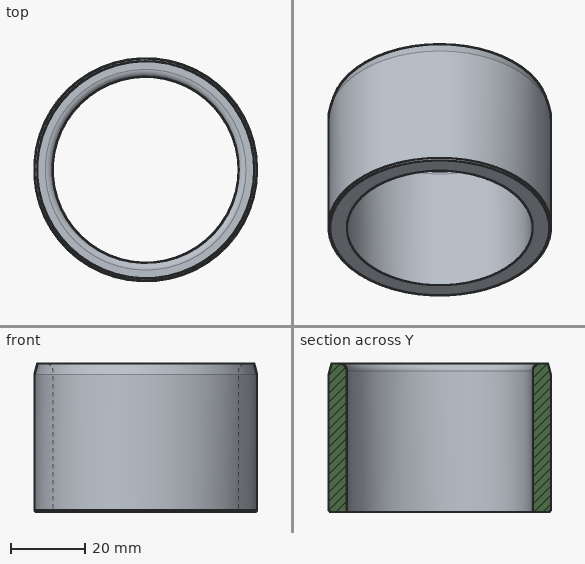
import cadquery as cq
import math

outer_diameter = 60.0
bore_diameter = 50.0
height = 40.0

lead_in_height = 3.0
lead_in_angle = 15.0
bottom_chamfer = 0.5
bore_mouth_radius = 2.0

outer_radius = outer_diameter / 2
lead_in_depth = lead_in_height * math.tan(math.radians(lead_in_angle))


def make_sleeve():
    """Plain tube standing on the XY plane."""
    return (
        cq.Workplane("XY")
        .circle(outer_radius)
        .circle(bore_diameter / 2)
        .extrude(height)
    )


def round_bore_mouth(body):
    """Round the top edge of the bore."""
    return body.faces(">Z").edges(cq.selectors.RadiusNthSelector(0)).fillet(bore_mouth_radius)


def make_outer_envelope():
    """Solid bounding the outside: bottom chamfer, straight wall and tapered lead-in at the top."""
    return (
        cq.Workplane("XZ")
        .moveTo(0, 0)
        .lineTo(outer_radius - bottom_chamfer, 0)
        .lineTo(outer_radius, bottom_chamfer)
        .lineTo(outer_radius, height - lead_in_height)
        .lineTo(outer_radius - lead_in_depth, height)
        .lineTo(0, height)
        .close()
        .revolve(360, (0, 0), (0, 1))
    )


result = round_bore_mouth(make_sleeve()).intersect(make_outer_envelope())